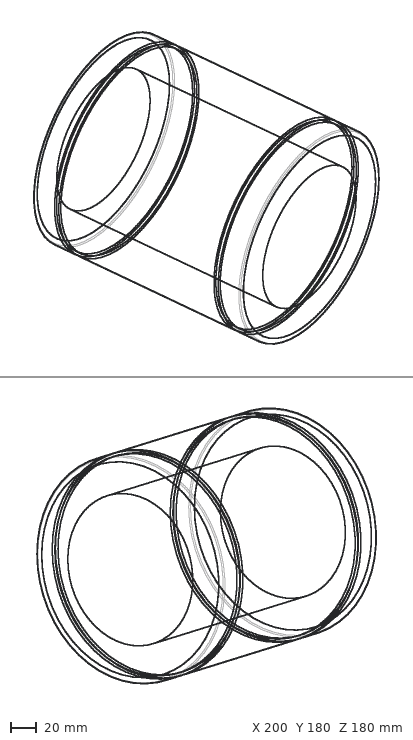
import cadquery as cq

length = 200.0
outer_diameter = 180.0
bore_diameter = 120.0
edge_radius = 1.0

groove_diameter = 175.0
groove_width = 4.2
groove_offset = 20.5

recess_diameter = 170.0
recess_depth = 0.1


def cylinder_along_x(diameter, start, width):
    return cq.Workplane("YZ", origin=(start, 0, 0)).circle(diameter / 2).extrude(width)


def ring_groove(start):
    blank = cylinder_along_x(outer_diameter, start, groove_width)
    return blank.cut(cylinder_along_x(groove_diameter, start, groove_width))


half_length = length / 2

sleeve = cylinder_along_x(outer_diameter, -half_length, length).faces("<X or >X").edges().fillet(edge_radius)
sleeve = sleeve.cut(cylinder_along_x(bore_diameter, -half_length, length))

for groove_start in (-half_length + groove_offset, half_length - groove_offset - groove_width):
    sleeve = sleeve.cut(ring_groove(groove_start))

for recess_start in (-half_length, half_length - recess_depth):
    sleeve = sleeve.cut(cylinder_along_x(recess_diameter, recess_start, recess_depth))

result = sleeve